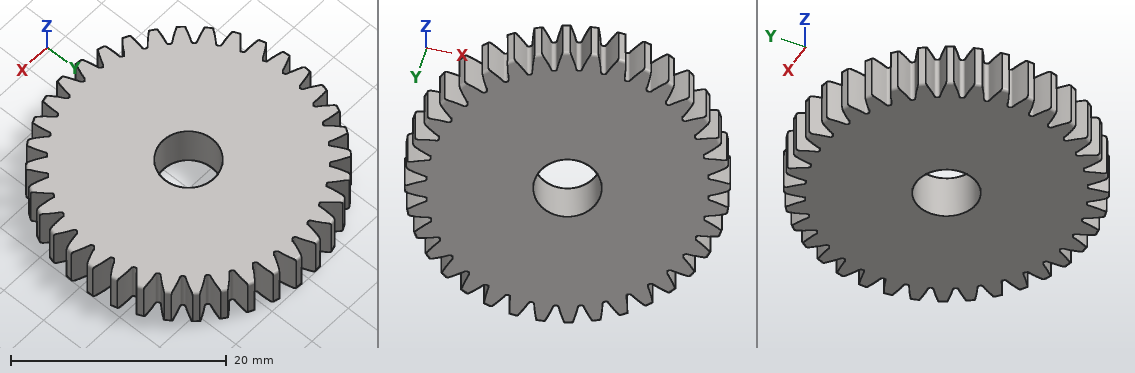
import cadquery as cq
import math

tooth_count = 36
thickness = 4.77
bore_diameter = 6.35
tip_radius = 15.1
root_radius = 13.12
tip_rounding = 0.3

pitch_radius = 14.3
tip_half_gap = 0.98
pitch_half_gap = 0.618
root_half_gap = 0.2
root_fillet = 0.25

pitch_angle = 360 / tooth_count
cutter_overrun = 0.3


def on_circle(radius, half_gap):
    """Point on a circle about the gear axis, offset sideways from the +X axis by half_gap."""
    return (math.sqrt(radius**2 - half_gap**2), half_gap)


def mirrored(point):
    """Mirror a point across the centre line of the tooth space."""
    return (point[0], -point[1])


def make_blank():
    """Disc with both outer rims rounded, which rounds over every tooth tip."""
    disc = cq.Workplane("XY").circle(tip_radius).extrude(thickness / 2, both=True)
    return disc.edges("%CIRCLE").fillet(tip_rounding)


def make_tooth_space():
    """Cutter for one tooth space on +X: two bowed flanks filleted into a narrow root land."""
    tip = on_circle(tip_radius, tip_half_gap)
    middle = on_circle(pitch_radius, pitch_half_gap)
    root = on_circle(root_radius, root_half_gap)
    outside = (tip_radius + cutter_overrun, tip_half_gap)
    sharp_space = (
        cq.Workplane("XY")
        .moveTo(*outside)
        .lineTo(*tip)
        .threePointArc(middle, root)
        .threePointArc((root_radius, 0), mirrored(root))
        .threePointArc(mirrored(middle), mirrored(tip))
        .lineTo(*mirrored(outside))
        .close()
        .extrude(thickness / 2, both=True)
    )
    return sharp_space.edges("|Z").edges("<X").fillet(root_fillet)


def cut_teeth(blank):
    """Cut the tooth spaces, starting with one centred on +X."""
    cutter = make_tooth_space().val()
    origin = cq.Vector(0, 0, 0)
    axis = cq.Vector(0, 0, 1)
    spaces = [cutter.rotate(origin, axis, index * pitch_angle) for index in range(tooth_count)]
    return cq.Workplane("XY").newObject([blank.val().cut(*spaces)])


def make_bore():
    """Plain through hole on the gear axis."""
    return cq.Workplane("XY").circle(bore_diameter / 2).extrude(thickness / 2, both=True)


result = cut_teeth(make_blank()).cut(make_bore())